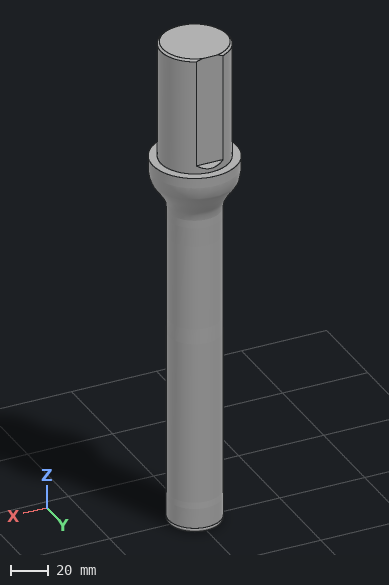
import cadquery as cq

total_height = 291.0
tip_height = 2.5
head_top = 14.3
guide_bottom = 18.0
guide_top = 114.7
waist_bottom = 123.7
waist_top = 174.0
land_bottom = 185.5
land_top = 190.0
collar_bottom = 215.3
collar_top = 221.5

shank_radius = 40.0 / 2
collar_radius = 49.5 / 2
head_radius = 30.5 / 2
land_radius = 30.3 / 2
guide_radius = land_radius
waist_radius = 30.0 / 2

vertical = (0, 1)

shank_chamfer = 1.2
flare_lower = 196.5
flare_lower_radius = 16.5
flare_upper = 203.5
flare_upper_radius = 21.0
flat_offset = 18.3
flat_bottom = 226.5
flat_runout = 2.5


def make_flare(profile):
    """Continue the profile from the land to the collar with a smooth S-curve, vertical at both ends."""
    return profile.spline(
        [(flare_lower_radius, flare_lower), (flare_upper_radius, flare_upper), (collar_radius, collar_bottom)],
        tangents=[vertical, vertical],
        includeCurrent=True,
    )


def make_flat_cutter():
    """Block that cuts the +Y flat, with a sloped runout at its lower end."""
    outer_y = collar_radius
    runout_y = shank_radius
    return (
        cq.Workplane("YZ")
        .moveTo(flat_offset, total_height)
        .lineTo(flat_offset, flat_bottom)
        .lineTo(runout_y, flat_bottom - flat_runout)
        .lineTo(outer_y, flat_bottom - flat_runout)
        .lineTo(outer_y, total_height)
        .close()
        .extrude(shank_radius, both=True)
    )


def make_shaft():
    """Stepped, waisted shaft with its flared collar and flatted shank."""
    taper_in = (2 * (waist_radius - guide_radius), waist_bottom - guide_top)
    taper_out = (2 * (land_radius - waist_radius), land_bottom - waist_top)
    profile = (
        cq.Workplane("XZ")
        .moveTo(0, tip_height)
        .lineTo(head_radius, tip_height)
        .lineTo(head_radius, head_top)
        .lineTo(guide_radius, guide_bottom)
        .lineTo(guide_radius, guide_top)
        .spline([(waist_radius, waist_bottom)], tangents=[taper_in, vertical], includeCurrent=True)
        .lineTo(waist_radius, waist_top)
        .spline([(land_radius, land_bottom)], tangents=[vertical, taper_out], includeCurrent=True)
        .lineTo(land_radius, land_top)
    )
    profile = (
        make_flare(profile)
        .lineTo(collar_radius, collar_top)
        .lineTo(shank_radius, collar_top)
        .lineTo(shank_radius, total_height - shank_chamfer)
        .lineTo(shank_radius - shank_chamfer, total_height)
        .lineTo(0, total_height)
        .close()
    )
    return profile.revolve(360, (0, 0, 0), (0, 1, 0)).cut(make_flat_cutter())


def make_tip():
    """Thin end disc with a fully rounded rim, seated against the lower end of the shaft."""
    rim_radius = tip_height / 2
    return (
        cq.Workplane("XZ")
        .lineTo(head_radius - rim_radius, 0)
        .threePointArc((head_radius, rim_radius), (head_radius - rim_radius, tip_height))
        .lineTo(0, tip_height)
        .close()
        .revolve(360, (0, 0, 0), (0, 1, 0))
    )


shaft = make_shaft()
tip = make_tip()

result = cq.Compound.makeCompound([shaft.val(), tip.val()])